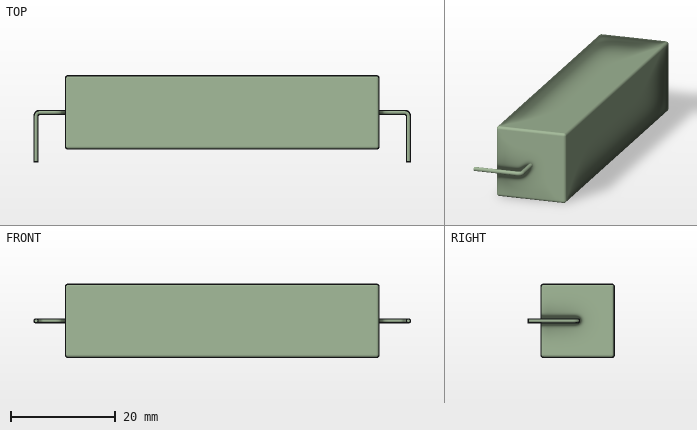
import cadquery as cq

overall_length = 71.9
overall_depth = 16.5

body_length = 59.9
body_width = 14.0
edge_radius = 0.5

lead_diameter = 0.8
bend_radius = 0.7

lead_x = (overall_length - lead_diameter) / 2
lead_tip_y = body_width / 2 - overall_depth
lead_embed = 0.7


def make_body():
    block = cq.Workplane("XY").box(body_length, body_width, body_width)
    return block.edges().fillet(edge_radius)


def make_right_lead():
    """Wire leaving the +X end face, turning a quarter circle and running to its tip."""
    start_x = body_length / 2 - lead_embed
    bend_start_x = lead_x - bend_radius
    path = (
        cq.Workplane("XY")
        .moveTo(start_x, 0)
        .lineTo(bend_start_x, 0)
        .tangentArcPoint((lead_x, -bend_radius), relative=False)
        .lineTo(lead_x, lead_tip_y)
    )
    profile = cq.Workplane("YZ", origin=(start_x, 0, 0)).circle(lead_diameter / 2)
    return profile.sweep(path)


right_lead = make_right_lead()
left_lead = right_lead.mirror("YZ")
result = make_body().union(right_lead).union(left_lead)